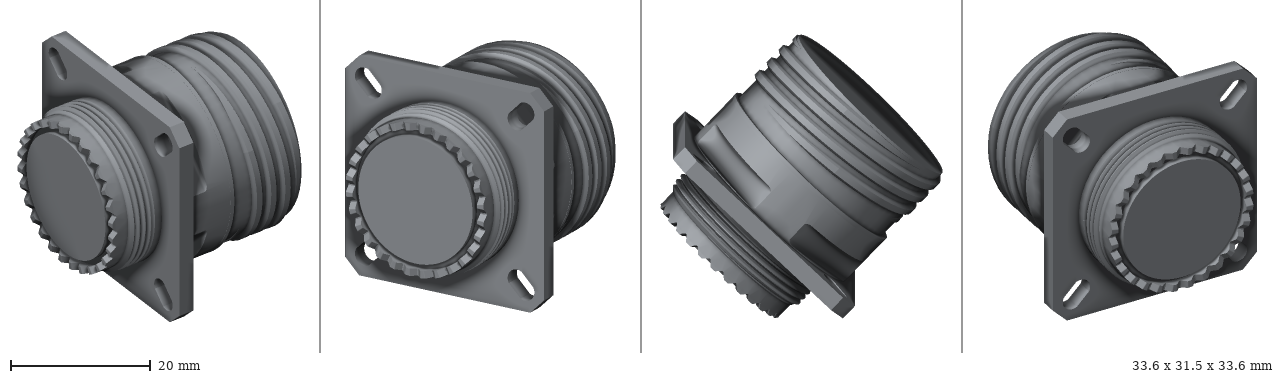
import cadquery as cq
import math


fine_thread_start = 2.72
fine_core_end = 6.35
neck_start = 6.85
flange_front = 8.05
flange_thickness = 2.5
shoulder_step = 18.48
body_end = 19.12
coarse_thread_start = 21.95
coarse_thread_end = 31.1
total_length = 31.5

collar_radius = 11.7
neck_radius = 12.53
fine_core_radius = 11.93
body_radius = 14.95
shoulder_radius = 15.0
barrel_radius = 14.25

corner_count = 4
flange_side = 33.6
corner_chamfer = 2.35
slot_width = 3.02
slot_length = 5.07
slot_flat_length = 2.82
slot_pitch_radius = 18.25

flat_distance = 12.67
flat_start = 10.7
flat_width = 4.0
flat_fillet = 0.55

tooth_count = 28
tooth_depth = 0.8
tooth_gap_floor = 0.2
tooth_tip_fillet = 0.2
tooth_gap_mouth = tooth_gap_floor + 2 * tooth_depth
tooth_ring_inner_radius = 10.6
plug_radius = 9.65
recess_depth = 1.35
plug_recess = 0.17

coarse_starts = 3
coarse_lead = 7.5
coarse_crest_width = 0.95
coarse_root_width = 1.85
coarse_fade_turn = 64.0
coarse_fade_lead = 6.55
coarse_full_start = 23.05
coarse_full_end = 30.15
coarse_angle = 95.0

fine_pitch = 1.0
fine_crest_width = 0.15
fine_root_width = 0.87
fine_helix_start = 2.7
fine_helix_end = 6.72
fine_angle = 180.0

thread_root_overlap = 0.07
margin = 1.68


def revolve_about_y(points):
    """Solid of revolution about the Y axis from (radius, y) points."""
    return cq.Workplane("XY").polyline(points).close().revolve(360, (0, 0, 0), (0, 1, 0))


def cylinder_y(radius, start, end):
    return revolve_about_y([(0, start), (radius, start), (radius, end), (0, end)])


def ring_y(inner_radius, outer_radius, start, end):
    return cylinder_y(outer_radius, start, end).cut(cylinder_y(inner_radius, start, end))


def helical_ridge(lead, rise, root_radius, crest_radius, root_width, crest_width, fade_angle=0.0):
    """Trapezoidal ridge on a right-hand helix about Z that begins at angle 0 and z = 0.

    A fade angle above 0 puts the helix on a cone, so that the ridge closes in towards the axis.
    """
    inner_radius = root_radius - thread_root_overlap
    profile = [
        (inner_radius, -root_width / 2),
        (crest_radius, -crest_width / 2),
        (crest_radius, crest_width / 2),
        (inner_radius, root_width / 2),
    ]
    if fade_angle > 0:
        slant = 1 / math.cos(math.radians(fade_angle))
        path = cq.Wire.makeHelix(lead * slant, rise * slant, root_radius, angle=-fade_angle)
    else:
        path = cq.Wire.makeHelix(lead, rise, root_radius)
    return cq.Workplane("XZ").polyline(profile).close().sweep(cq.Workplane(path), isFrenet=True)


def place_on_y(ridge, angle, start):
    """Turn a ridge about Z by an angle, then lay its axis along Y beginning at y = start."""
    turned = ridge.rotate((0, 0, 0), (0, 0, 1), angle)
    return turned.rotate((0, 0, 0), (1, 0, 0), -90).translate((0, start, 0))


def make_turned_body():
    return revolve_about_y([
        (0, 0),
        (collar_radius, 0),
        (collar_radius, fine_thread_start),
        (fine_core_radius, fine_thread_start + fine_core_radius - collar_radius),
        (fine_core_radius, fine_core_end),
        (neck_radius, neck_start),
        (neck_radius, flange_front),
        (body_radius, flange_front),
        (body_radius, shoulder_step),
        (shoulder_radius, shoulder_step),
        (shoulder_radius, body_end),
        (barrel_radius, body_end),
        (barrel_radius, total_length),
        (0, total_length),
    ])


def make_flange():
    plate = (
        cq.Workplane("XZ", origin=(0, flange_front, 0))
        .rect(flange_side, flange_side)
        .extrude(-flange_thickness)
        .edges("|Y")
        .chamfer(corner_chamfer)
    )
    slot = (
        cq.Workplane("XZ", origin=(slot_pitch_radius, flange_front, 0))
        .moveTo(-slot_flat_length / 2, -slot_width / 2)
        .lineTo(slot_flat_length / 2, -slot_width / 2)
        .threePointArc((slot_length / 2, 0), (slot_flat_length / 2, slot_width / 2))
        .lineTo(-slot_flat_length / 2, slot_width / 2)
        .threePointArc((-slot_length / 2, 0), (-slot_flat_length / 2, -slot_width / 2))
        .close()
        .extrude(-flange_thickness)
    )
    for index in range(corner_count):
        plate = plate.cut(slot.rotate((0, 0, 0), (0, 1, 0), 45 + 360 / corner_count * index))
    return plate


def cut_flats(part):
    """Mill four flats with rounded bottom edges, one on each diagonal."""
    depth = body_radius - flat_distance + margin
    block = (
        cq.Workplane("XY")
        .box(depth, flat_width, 2 * body_radius, centered=(False, False, True))
        .edges("|Z and <X")
        .fillet(flat_fillet)
        .translate((flat_distance, flat_start, 0))
    )
    for index in range(corner_count):
        part = part.cut(block.rotate((0, 0, 0), (0, 1, 0), 45 + 360 / corner_count * index))
    return part


def sink_front_face(part):
    """Lower the plug face slightly, with a deeper ring-shaped recess around it."""
    plug_clearance = cylinder_y(plug_radius, 0, plug_recess)
    ring_recess = ring_y(plug_radius, tooth_ring_inner_radius, 0, recess_depth)
    return part.cut(plug_clearance).cut(ring_recess)


def cut_teeth(part):
    """Cut radial trapezoidal gaps into the rim, the first one at the top, and round the tips."""
    gap = (
        cq.Workplane("XY")
        .polyline([
            (-tooth_gap_mouth / 2, 0),
            (tooth_gap_mouth / 2, 0),
            (tooth_gap_floor / 2, tooth_depth),
            (-tooth_gap_floor / 2, tooth_depth),
        ])
        .close()
        .extrude(collar_radius - plug_radius + margin)
        .translate((0, 0, plug_radius))
    )
    for index in range(tooth_count):
        part = part.cut(gap.rotate((0, 0, 0), (0, 1, 0), 360 / tooth_count * index))
    return part.faces("<Y").edges("%LINE").fillet(tooth_tip_fillet)


def make_coarse_thread():
    """Ridges of full height in the middle, with a conical run-out at each end."""
    ridge_height = body_radius - barrel_radius
    profile = (barrel_radius, body_radius, coarse_root_width, coarse_crest_width)
    fade_rise = coarse_fade_lead * coarse_fade_turn / 360
    full_rise = coarse_full_end - coarse_full_start
    fade_angle = math.degrees(math.atan2(ridge_height, fade_rise))

    full = helical_ridge(coarse_lead, full_rise, *profile)
    rear_fade = helical_ridge(coarse_fade_lead, fade_rise, *profile, fade_angle=fade_angle)
    end_angle = coarse_angle + 360 * full_rise / coarse_lead
    band = ring_y(
        barrel_radius - thread_root_overlap / 2, body_radius + margin,
        coarse_thread_start, coarse_thread_end,
    )
    front_fade = rear_fade.rotate((0, 0, 0), (1, 0, 0), 180)
    pieces = []
    for index in range(coarse_starts):
        turn = 360 / coarse_starts * index
        pieces.append(place_on_y(full, coarse_angle + turn, coarse_full_start))
        pieces.append(place_on_y(rear_fade, end_angle + turn, coarse_full_end))
        pieces.append(place_on_y(front_fade, coarse_angle + turn, coarse_full_start))
    return [piece.intersect(band) for piece in pieces]


def make_fine_thread():
    ridge = helical_ridge(
        fine_pitch, fine_helix_end - fine_helix_start,
        fine_core_radius, neck_radius, fine_root_width, fine_crest_width,
    )
    lead_in_end = fine_thread_start + neck_radius - collar_radius
    envelope = revolve_about_y([
        (collar_radius, fine_thread_start),
        (neck_radius + margin, lead_in_end + margin),
        (neck_radius + margin, neck_start),
        (collar_radius, neck_start),
    ])
    return place_on_y(ridge, fine_angle, fine_helix_start).intersect(envelope)


shell = make_turned_body().union(make_flange())
shell = cut_flats(shell)
shell = sink_front_face(shell)
shell = cut_teeth(shell)
shell = shell.union(make_fine_thread())
for ridge_piece in make_coarse_thread():
    shell = shell.union(ridge_piece)

result = shell